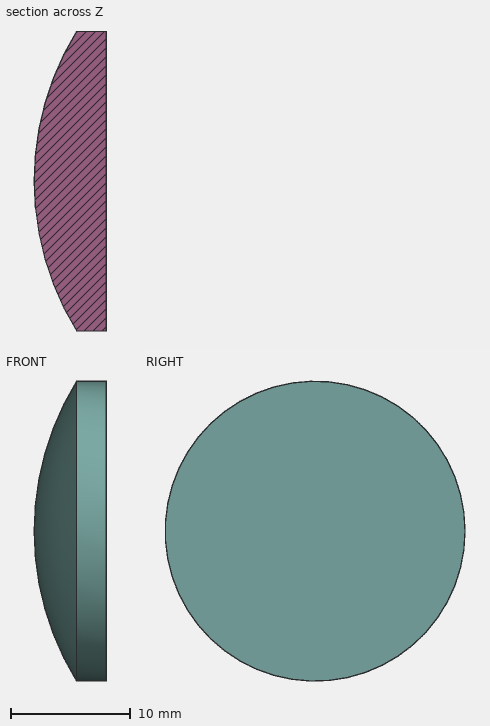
import cadquery as cq
import math

diameter = 25.0
center_thickness = 6.03
edge_thickness = 2.48

radius = diameter / 2
dome_height = center_thickness - edge_thickness
sphere_radius = (radius**2 + dome_height**2) / (2 * dome_height)


def lens_half_profile():
    """Half section in the XY plane, with the dome apex at the origin."""
    mid_height = radius / 2
    mid_depth = sphere_radius - math.sqrt(sphere_radius**2 - mid_height**2)
    return (
        cq.Workplane("XY")
        .moveTo(0, 0)
        .threePointArc((mid_depth, mid_height), (dome_height, radius))
        .lineTo(center_thickness, radius)
        .lineTo(center_thickness, 0)
        .close()
    )


result = lens_half_profile().revolve(360, (0, 0, 0), (1, 0, 0))